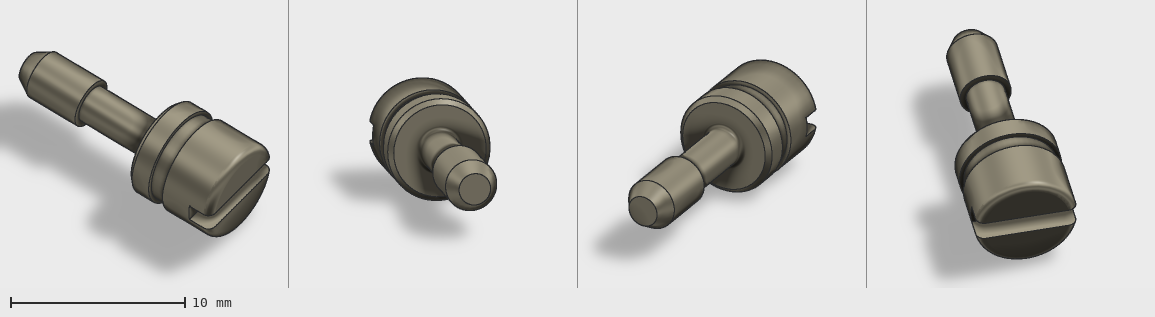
import cadquery as cq

total_length = 15.4
tip_taper_length = 1.0
thread_end = 4.5
head_start = 9.5
groove_start = 11.0
groove_end = 12.0

tip_diameter = 1.85
thread_diameter = 3.0
shank_diameter = 2.3
head_diameter = 6.0
groove_diameter = 5.5

head_chamfer = 0.3
neck_fillet = 0.3
head_fillet = 0.5

slot_width = 1.2
slot_depth = 1.5


def cylinder(start, end, diameter):
    """Solid cylinder on the X axis between two stations."""
    return cq.Workplane("YZ", origin=(start, 0, 0)).circle(diameter / 2).extrude(end - start)


def threaded_end():
    """Enlarged end with a conical lead-in tip."""
    body = cylinder(tip_taper_length, thread_end, thread_diameter)
    tip = (
        cq.Workplane("YZ")
        .circle(tip_diameter / 2)
        .workplane(offset=tip_taper_length)
        .circle(thread_diameter / 2)
        .loft(ruled=True)
    )
    return body.union(tip)


def neck():
    """Shank that flares into the head through a concave fillet."""
    shank_radius = shank_diameter / 2
    flare_radius = shank_radius + neck_fillet
    flare_start = head_start - neck_fillet
    profile = (
        cq.Workplane("XY")
        .moveTo(thread_end, 0)
        .lineTo(thread_end, shank_radius)
        .lineTo(flare_start, shank_radius)
        .radiusArc((head_start, flare_radius), -neck_fillet)
        .lineTo(head_start, 0)
        .close()
    )
    return profile.revolve(360, (0, 0, 0), (1, 0, 0))


def head():
    """Chamfered collar, groove and rounded, slotted drive end."""
    collar = cylinder(head_start, groove_start, head_diameter).faces("<X").chamfer(head_chamfer)
    groove = cylinder(groove_start, groove_end, groove_diameter)
    drive = cylinder(groove_end, total_length, head_diameter).faces(">X").edges().fillet(head_fillet)
    slot = cq.Workplane("XY").box(slot_depth, head_diameter, slot_width)
    slot = slot.translate((total_length - slot_depth / 2, 0, 0))
    return collar.union(groove).union(drive.cut(slot))


result = threaded_end().union(neck()).union(head())